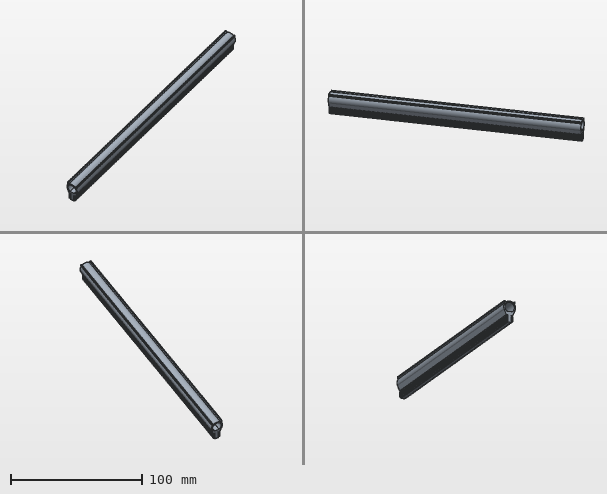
import cadquery as cq
import math

length = 200.0
height = 17.0

bead_radius = 5.0
bore_radius = 3.9
bead_z = height - bead_radius
bore_floor_z = 8.5

shoulder_z = 5.8
shoulder_half_width = 2.8

stem_width = 3.0
barb_width = 2 * shoulder_half_width
barb_thickness = 0.8
barb_pitch = 1.5
lowest_barb_z = 1.3
barb_count = 3

ear_tip_x = 4.5
ear_tip_z = 16.8
ear_edge = 0.8
ear_root_offset = 3.2


def extrude(sketch):
    """Extrude an XZ profile along Y, centred on the origin."""
    return sketch.extrude(length / 2, both=True)


def block(width, bottom_z, top_z):
    middle_z = (bottom_z + top_z) / 2
    return extrude(cq.Workplane("XZ").center(0, middle_z).rect(width, top_z - bottom_z))


def cylinder(radius):
    return extrude(cq.Workplane("XZ").center(0, bead_z).circle(radius))


def neck():
    drop = bead_z - shoulder_z
    corner_distance = math.hypot(shoulder_half_width, drop)
    corner_angle = math.atan2(-drop, shoulder_half_width)
    tangent_angle = corner_angle + math.acos(bead_radius / corner_distance)
    tangent_x = bead_radius * math.cos(tangent_angle)
    tangent_z = bead_z + bead_radius * math.sin(tangent_angle)
    return extrude(
        cq.Workplane("XZ")
        .moveTo(-tangent_x, tangent_z)
        .lineTo(-shoulder_half_width, shoulder_z)
        .lineTo(shoulder_half_width, shoulder_z)
        .lineTo(tangent_x, tangent_z)
        .close()
    )


def ear(side):
    root_x = ear_root_offset
    root_z = bead_z + ear_root_offset
    points = [
        (ear_tip_x, ear_tip_z),
        (ear_tip_x - ear_edge, ear_tip_z),
        (root_x - ear_edge / 2, root_z + ear_edge / 2),
        (root_x + ear_edge / 2, root_z - ear_edge / 2),
        (ear_tip_x, ear_tip_z - ear_edge),
    ]
    return extrude(cq.Workplane("XZ").polyline([(side * x, z) for x, z in points]).close())


def bore():
    below_floor = block(2 * bore_radius, bead_z - bead_radius, bore_floor_z)
    return cylinder(bore_radius).cut(below_floor)


result = cylinder(bead_radius).union(neck())
result = result.union(block(stem_width, 0, bore_floor_z))
for index in range(barb_count):
    barb_z = lowest_barb_z + index * barb_pitch
    barb = block(barb_width, barb_z - barb_thickness / 2, barb_z + barb_thickness / 2)
    result = result.union(barb)
for side in (-1, 1):
    result = result.union(ear(side))
result = result.cut(bore())